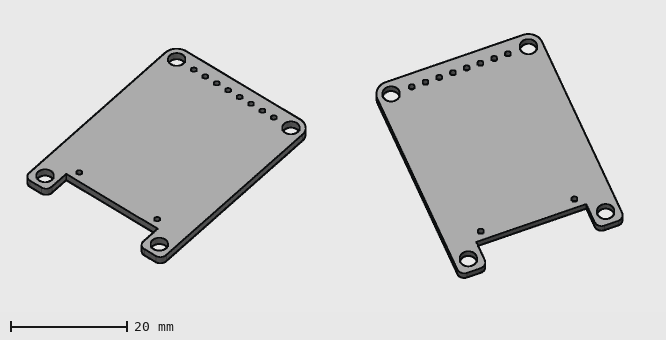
import cadquery as cq

length = 40.65
width = 30.5
thickness = 1.6
pitch = length / 16

top_corner_radius = pitch
leg_corner_radius = pitch / 2
leg_width = 2 * pitch
notch_width = width - 2 * leg_width
notch_depth = 5.15

mount_diameter = 3.0
mount_inset = pitch
pin_diameter = 1.0
pin_count = 8
locating_spacing = 17.3
locating_from_bottom = 6.85


def make_board():
    """Flat plate centred on the origin, resting on Z = 0, with rounded top corners."""
    plate = cq.Workplane("XY").box(width, length, thickness, centered=(True, True, False))
    return plate.edges("|Z and >Y").fillet(top_corner_radius)


def cut_notch(board):
    """Open the -Y edge between two legs and round the ends of the legs."""
    notch = (
        cq.Workplane("XY")
        .center(0, -length / 2 + notch_depth / 2)
        .rect(notch_width, notch_depth)
        .extrude(thickness)
    )
    return board.cut(notch).edges("|Z and <Y").fillet(leg_corner_radius)


def drill(board, points, diameter):
    """Drill through holes at the given points."""
    holes = cq.Workplane("XY").pushPoints(points).circle(diameter / 2).extrude(thickness)
    return board.cut(holes)


mount_x = width / 2 - mount_inset
mount_y = length / 2 - mount_inset
mount_points = [(x, y) for x in (-mount_x, mount_x) for y in (-mount_y, mount_y)]

pin_points = [((i - (pin_count - 1) / 2) * pitch, mount_y) for i in range(pin_count)]

locating_y = -length / 2 + locating_from_bottom
locating_points = [(side * locating_spacing / 2, locating_y) for side in (-1, 1)]

result = cut_notch(make_board())
result = drill(result, mount_points, mount_diameter)
result = drill(result, pin_points + locating_points, pin_diameter)